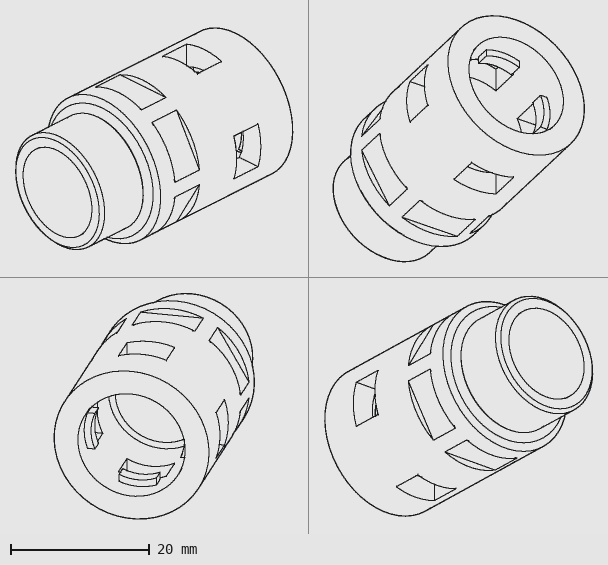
import cadquery as cq

total_length = 36.5
spigot_length = 9.5
body_length = total_length - spigot_length

body_diameter = 23.0
spigot_diameter = 18.03
spigot_chamfer = 0.55
bore_diameter = 13.95
socket_diameter = 15.9
socket_depth = 18.25

ring_section = 1.45
ring_diameter = 20.8

window_width = 7.08
window_length = 4.93
window_end_gap = 6.55

catch_count = 4
catch_width = 5.55
catch_length = 2.2
catch_setback = 0.62
catch_inner_diameter = 13.87

flat_count = 6
across_flats = 21.02
flat_length = 5.0
flat_offset = 3.0


def cylinder(diameter, start, length):
    """Solid cylinder on the Y axis, from start towards +Y."""
    axis = cq.Vector(0, 1, 0)
    return cq.Workplane(cq.Solid.makeCylinder(diameter / 2, length, cq.Vector(0, start, 0), axis))


def make_spigot():
    return cylinder(spigot_diameter, 0, spigot_length).faces("<Y").chamfer(spigot_chamfer)


def make_ring():
    pitch_radius = (ring_diameter - ring_section) / 2
    center = cq.Vector(0, spigot_length - ring_section / 2, 0)
    return cq.Workplane(cq.Solid.makeTorus(pitch_radius, ring_section / 2, center, cq.Vector(0, 1, 0)))


def make_window_cutters():
    """Two crossed bars that open the wall on +-X and +-Z."""
    center_y = total_length - window_end_gap - window_length / 2
    along_x = cq.Workplane().box(body_diameter, window_length, window_width)
    along_z = cq.Workplane().box(window_width, window_length, body_diameter)
    return along_x.union(along_z).translate((0, center_y, 0))


def cut_wrench_flats(body):
    center_y = spigot_length + flat_offset + flat_length / 2
    cutter_height = body_diameter - across_flats
    cutter = cq.Workplane().box(body_diameter, flat_length, cutter_height)
    cutter = cutter.translate((0, center_y, (across_flats + cutter_height) / 2))
    for index in range(flat_count):
        body = body.cut(cutter.rotate((0, 0, 0), (0, 1, 0), index * 360 / flat_count))
    return body


def make_catches():
    """Parallel-sided teeth that stand inwards from the socket wall."""
    wall_diameter = (body_diameter + socket_diameter) / 2
    start = total_length - window_end_gap + catch_setback
    ring = cylinder(wall_diameter, start, catch_length)
    ring = ring.cut(cylinder(catch_inner_diameter, start, catch_length))
    center_y = start + catch_length / 2
    bar = cq.Workplane().box(catch_width, catch_length, wall_diameter)
    bar = bar.translate((0, center_y, wall_diameter / 2))
    catches = cq.Workplane()
    for index in range(catch_count):
        catches = catches.add(ring.intersect(bar.rotate((0, 0, 0), (0, 1, 0), index * 360 / catch_count)))
    return catches.combine()


body = cut_wrench_flats(cylinder(body_diameter, spigot_length, body_length))
result = body.union(make_spigot()).union(make_ring())
result = result.cut(cylinder(bore_diameter, 0, total_length))
result = result.cut(cylinder(socket_diameter, total_length - socket_depth, socket_depth))
result = result.cut(make_window_cutters())
result = result.union(make_catches())